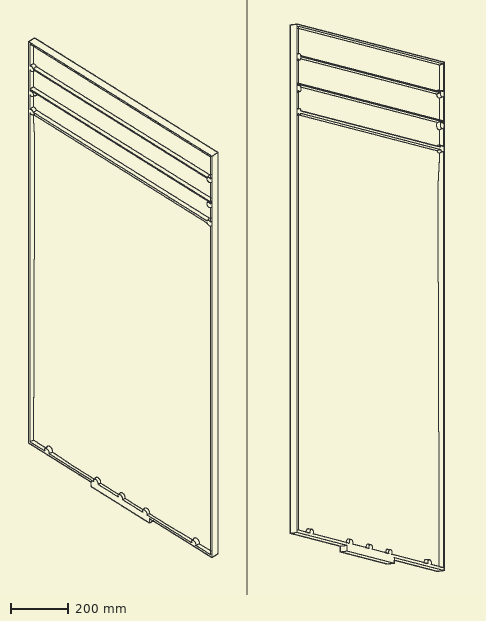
import cadquery as cq
import math

WIDTH = 900.0
LENGTH = 1800.0
THICKNESS = 30.0
TAB_WIDTH = 288.0
TAB_LENGTH = 20.0

FRONT_Y = -THICKNESS / 2
RIM = 10.0
WALL_DRAFT = 3.0
BOTTOM_RIM = 10.0
SIDE_X = WIDTH / 2 - RIM
FRONT_X = SIDE_X + WALL_DRAFT

RIBS = [(105.5, 115.5), (205.5, 215.5), (300.5, 316.0)]
POCKET_TOP_Z = LENGTH - RIBS[-1][1]
POCKET_FRONT_TOP_Z = POCKET_TOP_Z + WALL_DRAFT

CREASE_X = 136.0
CROWN = 0.5
UPPER_DEPTH = 14.0
BAND_TOP_Z = LENGTH - 340.0
BAND_BOTTOM_Z = LENGTH - 440.0
MAIN_DEPTH = 17.0
SIDE_FALL = 0.012
LENGTH_RISE = 0.004

BASIN_X = 315.0
BASIN_TOP_Z = 1099.0
BASIN_RADIUS = 50.0
BASIN_SPLIT_X = 206.0
INNER_X = 203.0
INNER_TOP_Z = 971.0
INNER_BOTTOM_Z = 497.0
INNER_RADIUS = 33.0
INNER_SPLIT_X = 95.0
INNER_DEPTH = 17.2
INNER_RISE = 0.011
ARCH_DEPTH = 10.8
ARCH_NECK = [(0.0, 393.0), (110.0, 387.0), (136.0, 382.0)]
ARCH_CORNER = [(136.0, 382.0), (148.5, 375.0), (156.0, 364.0)]
ARCH_SIDE = [(156.0, 364.0), (209.0, 233.0), (243.0, BOTTOM_RIM)]

BOSS_RADIUS = 14.0
BOSS_TOP_RADIUS = 11.0
BOSS_INSET = BOSS_RADIUS
BOTTOM_BOSS_X = [-360.0, -120.0, 0.0, 120.0, 360.0]
SIDE_BOSS_DROPS = [114.0, 226.0, 308.0]

PAD_INNER_X = 60.0
PAD_WIDTH = 110.0
PAD_HEIGHT = 40.0
PAD_THICKNESS = 0.35
PAD_TOP_DROP = 40.0

DIAGONAL = math.sqrt(0.5)


def point(x, z, depth=0.0):
    return cq.Vector(x, FRONT_Y + depth, z)


def line(start, end):
    return cq.Edge.makeLine(start, end)


def polygon(*corners):
    return cq.Face.makeFromWires(cq.Wire.makePolygon(list(corners), close=True))


def ruled(edge_a, edge_b):
    return cq.Face.makeRuledSurface(edge_a, edge_b)


def planar(*edges):
    return cq.Face.makeFromWires(cq.Wire.assembleEdges(list(edges)))


def solid_from(faces):
    return cq.Solid.makeSolid(cq.Shell.makeShell(faces)).fix()


def crown_rise(x):
    """How far the floor rises toward the middle line, from the creases at |X| = CREASE_X."""
    return CROWN * max(0, 1 - abs(x) / CREASE_X)


def upper_point(x, z):
    """Point on the level strip just below the last rib."""
    return point(x, z, UPPER_DEPTH - crown_rise(x))


def main_point(x, z):
    """Point on the main floor, which falls away toward both sides and rises toward the bottom end."""
    level = MAIN_DEPTH - LENGTH_RISE * (BAND_BOTTOM_Z - z)
    fall = SIDE_FALL * max(0, abs(x) - CREASE_X)
    return point(x, z, level + fall - crown_rise(x))


def inner_point(x, z):
    """Point on the basin's inner floor, which rises toward the bottom end."""
    level = INNER_DEPTH - INNER_RISE * (INNER_TOP_Z - z)
    return point(x, z, level - crown_rise(x))


def corner_arc(place, side, x, z, radius, up):
    """Quarter round from the side line at |X| = x to the level line at Z = z, on the floor `place`."""
    bulge = radius * (1 - DIAGONAL)
    return cq.Edge.makeThreePointArc(
        place(side * x, z - up * radius),
        place(side * (x - bulge), z - up * bulge),
        place(side * (x - radius), z),
    )


def rib_pocket(top_z, bottom_z):
    """Drafted pocket between two ribs, its floor crowned along the middle."""
    front_top = top_z + WALL_DRAFT
    front_bottom = bottom_z - WALL_DRAFT
    faces = [
        polygon(
            point(-FRONT_X, front_top),
            point(0, front_top),
            point(FRONT_X, front_top),
            point(FRONT_X, front_bottom),
            point(0, front_bottom),
            point(-FRONT_X, front_bottom),
        )
    ]
    for side in (-1, 1):
        corner_top = point(side * SIDE_X, top_z, UPPER_DEPTH)
        corner_bottom = point(side * SIDE_X, bottom_z, UPPER_DEPTH)
        crown_top = point(0, top_z, UPPER_DEPTH - CROWN)
        crown_bottom = point(0, bottom_z, UPPER_DEPTH - CROWN)
        rim_top = point(side * FRONT_X, front_top)
        rim_bottom = point(side * FRONT_X, front_bottom)
        faces.append(polygon(corner_top, crown_top, crown_bottom, corner_bottom))
        faces.append(polygon(corner_top, corner_bottom, rim_bottom, rim_top))
        faces.append(ruled(line(corner_top, crown_top), line(rim_top, point(0, front_top))))
        faces.append(ruled(line(corner_bottom, crown_bottom), line(rim_bottom, point(0, front_bottom))))
    return solid_from(faces)


def arch_edges(side):
    """Half outline of the arch: two neck edges, the rounded corner and the side curve."""
    neck, corner, flank = [
        [point(side * x, z, ARCH_DEPTH) for x, z in places]
        for places in (ARCH_NECK, ARCH_CORNER, ARCH_SIDE)
    ]
    return [
        line(neck[0], neck[1]),
        line(neck[1], neck[2]),
        cq.Edge.makeThreePointArc(*corner),
        cq.Edge.makeThreePointArc(*flank),
    ]


def band_faces(side):
    """Wall of the last rib, then the level strip and the sloping band below it, on one side."""
    faces = []
    for near, far in [(0, CREASE_X), (CREASE_X, SIDE_X)]:
        near_x = side * near
        far_x = side * far
        front_far_x = side * FRONT_X if far == SIDE_X else far_x
        front_edge = line(point(near_x, POCKET_FRONT_TOP_Z), point(front_far_x, POCKET_FRONT_TOP_Z))
        top_edge = line(upper_point(near_x, POCKET_TOP_Z), upper_point(far_x, POCKET_TOP_Z))
        band_top = line(upper_point(near_x, BAND_TOP_Z), upper_point(far_x, BAND_TOP_Z))
        band_bottom = line(main_point(near_x, BAND_BOTTOM_Z), main_point(far_x, BAND_BOTTOM_Z))
        faces += [ruled(front_edge, top_edge), ruled(top_edge, band_top), ruled(band_top, band_bottom)]
    return faces


def side_wall_faces(side):
    """Drafted side wall of the main pocket, following the floor's steps in depth."""
    floor_points = [
        upper_point(side * SIDE_X, POCKET_TOP_Z),
        upper_point(side * SIDE_X, BAND_TOP_Z),
        main_point(side * SIDE_X, BAND_BOTTOM_Z),
        main_point(side * SIDE_X, BOTTOM_RIM),
    ]
    front_z = [POCKET_FRONT_TOP_Z, BAND_TOP_Z, BAND_BOTTOM_Z, BOTTOM_RIM]
    front_points = [point(side * FRONT_X, z) for z in front_z]
    floor_edges = [line(start, end) for start, end in zip(floor_points, floor_points[1:])]
    front_edges = [line(start, end) for start, end in zip(front_points, front_points[1:])]
    return [ruled(floor_edge, front_edge) for floor_edge, front_edge in zip(floor_edges, front_edges)]


def floor_faces(side):
    """Main floor, basin slopes, inner floor, neck and flank on one side of the middle plane."""
    basin_columns = [0, CREASE_X, BASIN_SPLIT_X, BASIN_X - BASIN_RADIUS]
    inner_columns = [0, INNER_SPLIT_X, CREASE_X, INNER_X - INNER_RADIUS]
    basin_top = [main_point(side * x, BASIN_TOP_Z) for x in basin_columns]
    inner_top = [inner_point(side * x, INNER_TOP_Z) for x in inner_columns]
    basin_arc = corner_arc(main_point, side, BASIN_X, BASIN_TOP_Z, BASIN_RADIUS, 1)
    inner_top_arc = corner_arc(inner_point, side, INNER_X, INNER_TOP_Z, INNER_RADIUS, 1)
    inner_bottom_arc = corner_arc(inner_point, side, INNER_X, INNER_BOTTOM_Z, INNER_RADIUS, -1)
    basin_side = line(basin_arc.startPoint(), main_point(side * BASIN_X, BOTTOM_RIM))
    inner_side = line(inner_top_arc.startPoint(), inner_bottom_arc.startPoint())
    neck_top, neck_end, arch_corner, arch_side = arch_edges(side)

    band_middle = main_point(0, BAND_BOTTOM_Z)
    band_crease = main_point(side * CREASE_X, BAND_BOTTOM_Z)
    band_side = main_point(side * SIDE_X, BAND_BOTTOM_Z)
    bottom_corner = main_point(side * SIDE_X, BOTTOM_RIM)
    middle_strip = polygon(band_middle, band_crease, basin_top[1], basin_top[0])
    side_panel = planar(
        line(band_crease, band_side),
        line(band_side, bottom_corner),
        line(bottom_corner, basin_side.endPoint()),
        basin_side,
        basin_arc,
        line(basin_top[3], basin_top[2]),
        line(basin_top[2], basin_top[1]),
        line(basin_top[1], band_crease),
    )

    basin_edges = [line(start, end) for start, end in zip(basin_top, basin_top[1:])]
    inner_edges = [line(start, end) for start, end in zip(inner_top, inner_top[1:])]
    slopes = [ruled(outer, inner) for outer, inner in zip(basin_edges, inner_edges)]
    slopes.append(ruled(basin_arc, inner_top_arc))

    inner_middle = inner_point(0, INNER_BOTTOM_Z)
    inner_crease = inner_point(side * CREASE_X, INNER_BOTTOM_Z)
    inner_corner = inner_bottom_arc.endPoint()
    inner_floor = polygon(inner_top[0], inner_top[1], inner_top[2], inner_crease, inner_middle)
    inner_floor_side = planar(
        inner_edges[2],
        inner_top_arc,
        inner_side,
        inner_bottom_arc,
        line(inner_corner, inner_crease),
        line(inner_crease, inner_top[2]),
    )

    neck = ruled(line(inner_middle, inner_crease), neck_top)
    neck_side = ruled(line(inner_crease, inner_corner), neck_end)

    flank_outline = [
        line(basin_side.startPoint(), inner_side.startPoint()),
        inner_side,
        inner_bottom_arc,
        line(inner_corner, neck_end.endPoint()),
        arch_corner,
        arch_side,
        line(arch_side.endPoint(), basin_side.endPoint()),
        basin_side,
    ]
    flank = cq.Face.makeNSidedSurface(flank_outline, [])

    return [middle_strip, side_panel, *slopes, inner_floor, inner_floor_side, neck, neck_side, flank]


def main_pocket():
    """Pocket below the last rib with the basin, neck and arch in its floor."""
    front_z = [BOTTOM_RIM, BAND_BOTTOM_Z, BAND_TOP_Z]
    front = [point(-FRONT_X, z) for z in front_z]
    front += [point(x, POCKET_FRONT_TOP_Z) for x in (-FRONT_X, -CREASE_X, 0, CREASE_X, FRONT_X)]
    front += [point(FRONT_X, z) for z in reversed(front_z)]

    arch_end_x = ARCH_SIDE[-1][0]
    arch_ends = [point(side * arch_end_x, BOTTOM_RIM, ARCH_DEPTH) for side in (-1, 1)]
    floor_left = [main_point(x, BOTTOM_RIM) for x in (-SIDE_X, -BASIN_X)]
    floor_right = [main_point(x, BOTTOM_RIM) for x in (BASIN_X, SIDE_X)]
    bottom_wall = [front[0], *floor_left, *arch_ends, *floor_right, front[-1]]

    faces = [polygon(*front), polygon(*bottom_wall)]
    faces.append(planar(line(*arch_ends), *arch_edges(-1), *arch_edges(1)))
    for side in (-1, 1):
        faces += band_faces(side) + side_wall_faces(side) + floor_faces(side)
    return solid_from(faces)


def boss(x, z):
    """Tapered screw boss from the back of the tray up to the rim face."""
    cone = cq.Solid.makeCone(
        BOSS_RADIUS, BOSS_TOP_RADIUS, UPPER_DEPTH, pnt=point(x, z, UPPER_DEPTH), dir=cq.Vector(0, -1, 0)
    )
    foot_length = THICKNESS - UPPER_DEPTH
    foot = cq.Solid.makeCylinder(
        BOSS_RADIUS, foot_length, pnt=point(x, z, THICKNESS), dir=cq.Vector(0, -1, 0)
    )
    return cone.fuse(foot)


def back_pad(side):
    pad = cq.Workplane("XY").box(PAD_WIDTH, PAD_THICKNESS, PAD_HEIGHT)
    center_x = side * (PAD_INNER_X + PAD_WIDTH / 2)
    center_z = LENGTH - PAD_TOP_DROP - PAD_HEIGHT / 2
    return pad.translate((center_x, (THICKNESS + PAD_THICKNESS) / 2, center_z))


blank = cq.Workplane("XY").box(WIDTH, THICKNESS, LENGTH, centered=(True, True, False))
tab = cq.Workplane("XY").box(TAB_WIDTH, THICKNESS, TAB_LENGTH, centered=(True, True, False))
tray = blank.union(tab.translate((0, 0, -TAB_LENGTH)))

strip_drops = [RIM] + [bottom for _, bottom in RIBS[:-1]]
for strip_drop, (rib_drop, _) in zip(strip_drops, RIBS):
    tray = tray.cut(cq.Workplane(rib_pocket(LENGTH - strip_drop, LENGTH - rib_drop)), clean=False)
tray = tray.cut(cq.Workplane(main_pocket()), clean=False)

boss_places = [(x, BOSS_INSET) for x in BOTTOM_BOSS_X]
for drop in SIDE_BOSS_DROPS:
    for side in (-1, 1):
        boss_places.append((side * (WIDTH / 2 - BOSS_INSET), LENGTH - drop))
for x, z in boss_places:
    tray = tray.union(cq.Workplane(boss(x, z)), clean=False)

for side in (-1, 1):
    tray = tray.union(back_pad(side), clean=False)

result = tray.clean().solids().val()